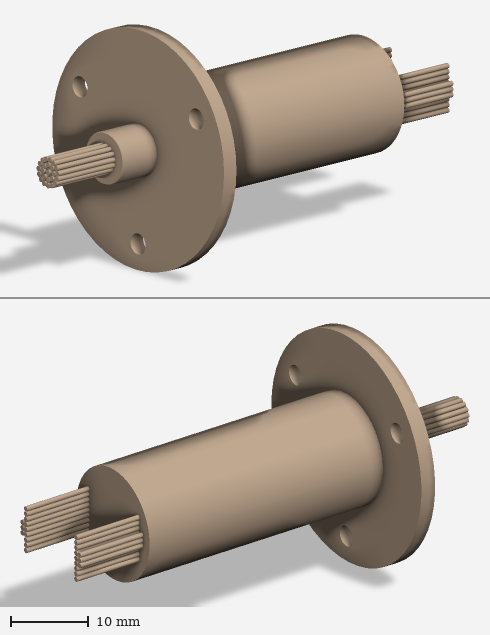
import cadquery as cq
import math


flange_diameter = 32.0
flange_thickness = 2.2
screw_hole_diameter = 2.8
screw_circle_radius = 12.5
screw_hole_angles = (30, 150, 270)

body_diameter = 15.6
body_length = 37.5
boss_diameter = 7.0
boss_length = 6.0
boss_chamfer = 0.1

wire_diameter = 0.7
wire_pitch = 0.74
wire_length = 10.0

downward_angle = -90
front_rings = ((1.0, 8), (1.75, 15))

inner_column_offset = 5.35
rear_columns = (
    (inner_column_offset, 9),
    (inner_column_offset + wire_pitch, 3),
)

body_end = flange_thickness + body_length
boss_end = -boss_length


def cylinder(diameter, start, end, centres=((0, 0),)):
    """Round bars along Y from start to end, centred on the given (x, z) points."""
    plane = cq.Workplane("XZ", origin=(0, end, 0))
    return plane.pushPoints(list(centres)).circle(diameter / 2).extrude(end - start)


def polar_point(radius, angle):
    """The (x, z) point at an angle in degrees from +X towards +Z."""
    return (radius * math.cos(math.radians(angle)), radius * math.sin(math.radians(angle)))


def make_flange():
    """Round plate with through holes for screws."""
    hole_centres = [polar_point(screw_circle_radius, angle) for angle in screw_hole_angles]
    flange = cylinder(flange_diameter, 0, flange_thickness)
    return flange.cut(cylinder(screw_hole_diameter, 0, flange_thickness, hole_centres))


def make_body():
    return cylinder(body_diameter, flange_thickness, body_end)


def make_boss():
    """Short cylinder with a lightly chamfered free end."""
    return cylinder(boss_diameter, boss_end, 0).faces("<Y").chamfer(boss_chamfer)


def make_front_wires():
    """Core wire with rings around it; every ring has a wire straight below the axis."""
    centres = [(0, 0)]
    for radius, count in front_rings:
        for index in range(count):
            centres.append(polar_point(radius, downward_angle + index * 360 / count))
    return cylinder(wire_diameter, boss_end - wire_length, boss_end, centres)


def make_rear_wires():
    """Mirrored upright columns of wires, each centred on the axis height."""
    centres = []
    for side in (-1, 1):
        for offset, count in rear_columns:
            for index in range(count):
                height = (index - (count - 1) / 2) * wire_pitch
                centres.append((side * offset, height))
    return cylinder(wire_diameter, body_end, body_end + wire_length, centres)


result = make_flange()
result = result.union(make_body())
result = result.union(make_boss())
result = result.union(make_front_wires())
result = result.union(make_rear_wires())